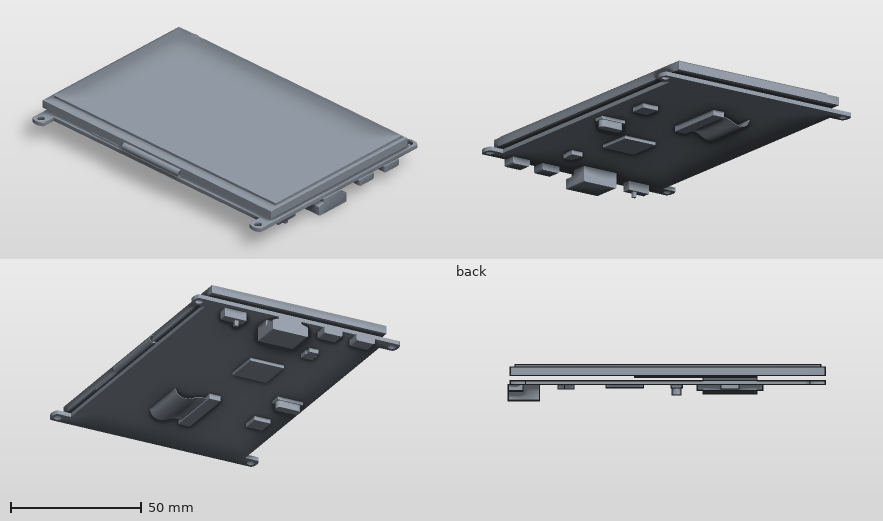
import cadquery as cq

OVERLAP = 0.1

board_bottom = 6.2
board_top = 7.8
panel_bottom = 9.7
panel_top = 13.0
glass_top = 14.0

overall_length = 121.8
panel_length = 121.0
panel_half_width = 38.0
board_half_width = panel_half_width

ear_width = 6.0
ear_tip = 44.7
ear_crown = 1.0
hole_offset_y = 42.0
hole_diameter = 3.0

glass_left, glass_right = 1.7, 119.2
glass_front, glass_back = -33.5, 36.6
screen_left, screen_right = 6.6, 114.8
screen_front, screen_back = -30.4, 35.0

flex_thickness = 0.18
sheet_thickness = 0.43
stiffener_inset = 0.1
flex_level = 9.0
flex_back = -17.9
ribbon_left, ribbon_right = 26.2, 47.0
wrap_left, wrap_right = 43.5, 73.2
wrap_radius = 1.6

socket_left, socket_right = 24.0, 49.2
socket_front, socket_back = -0.7, 4.1
socket_bottom = 4.0
ribbon_exit_level = 4.9
ribbon_low_level = 2.9

front_usb_y, back_usb_y = 14.5, 28.5


def block(x_range, y_range, z_range):
    """Box spanning the given (low, high) ranges."""
    (x0, x1), (y0, y1), (z0, z1) = x_range, y_range, z_range
    return cq.Workplane("XY").box(x1 - x0, y1 - y0, z1 - z0, centered=False).translate((x0, y0, z0))


def under_board(x_range, y_range, bottom):
    """Box hanging from the underside of the board down to the given level."""
    return block(x_range, y_range, (bottom, board_bottom + OVERLAP))


def ear(left, side):
    """Board ear with a crowned end and a screw hole; side is +1 (back) or -1 (front)."""
    middle = left + ear_width / 2
    right = left + ear_width
    shoulder = side * (ear_tip - ear_crown)
    root = side * (board_half_width - OVERLAP)
    outline = (
        cq.Workplane("XY", origin=(0, 0, board_bottom))
        .moveTo(left, root)
        .lineTo(left, shoulder)
        .threePointArc((middle, side * ear_tip), (right, shoulder))
        .lineTo(right, root)
        .close()
        .extrude(board_top - board_bottom)
    )
    hole = (
        cq.Workplane("XY", origin=(middle, side * hole_offset_y, board_bottom))
        .circle(hole_diameter / 2)
        .extrude(board_top - board_bottom)
    )
    return outline.cut(hole)


def make_board():
    """Circuit board with an ear at each corner."""
    board = block((0, panel_length), (-board_half_width, board_half_width), (board_bottom, board_top))
    for left in (0, panel_length - ear_width):
        for side in (-1, 1):
            board = board.union(ear(left, side))
    return board


def make_panel():
    """Display panel with the smaller cover glass on top."""
    panel = block((0, panel_length), (-panel_half_width, panel_half_width), (panel_bottom, panel_top))
    glass = block((glass_left, glass_right), (glass_front, glass_back), (panel_top - OVERLAP, glass_top))
    return panel.union(glass)


def make_ribbon():
    """Ribbon from the connector, sagging below the board, then up through it to the flex sheet."""
    middle_x = (ribbon_left + ribbon_right) / 2
    path = cq.Workplane("YZ", origin=(middle_x, 0, 0)).spline(
        [
            (socket_front + OVERLAP, ribbon_exit_level),
            (-3.9, ribbon_exit_level),
            (-8.8, ribbon_low_level),
            (-11.2, ribbon_low_level),
            (-12.9, 3.7),
            (-15.0, 7.4),
            (-16.1, flex_level),
            (flex_back - OVERLAP, flex_level),
        ],
        tangents=[(-1, 0), (-1, 0)],
    )
    section = cq.Workplane("XZ", origin=(0, socket_front + OVERLAP, 0)).center(
        middle_x, ribbon_exit_level
    )
    return section.rect(ribbon_right - ribbon_left, flex_thickness).sweep(path)


def make_flex():
    """Sheet below the panel, its stiffener, and the half loop that carries it round the front edge."""
    bottom = flex_level - flex_thickness / 2
    sheet = block(
        (ribbon_left, wrap_right),
        (-panel_half_width - OVERLAP, flex_back),
        (bottom, bottom + sheet_thickness),
    )
    stiffener = block(
        (ribbon_left + stiffener_inset, wrap_right - stiffener_inset),
        (-panel_half_width + stiffener_inset, flex_back - stiffener_inset),
        (bottom + OVERLAP, panel_bottom + OVERLAP),
    )
    loop_centre = bottom + wrap_radius
    loop = (
        cq.Workplane("YZ", origin=(wrap_left, -panel_half_width, loop_centre))
        .circle(wrap_radius)
        .circle(wrap_radius - flex_thickness)
        .extrude(wrap_right - wrap_left)
    )
    front_half = block(
        (wrap_left, wrap_right),
        (-panel_half_width - 2 * wrap_radius, -panel_half_width + OVERLAP),
        (0, glass_top),
    )
    return sheet.union(stiffener).union(loop.intersect(front_half))


def make_crystal():
    """Oscillator can: a round-ended body below a rectangular base."""
    middle_x, middle_y = 57.1, 29.1
    base_width, base_length, base_bottom = 4.4, 11.0, 5.0
    can_width, can_length, can_bottom = 3.5, 10.3, 2.2
    base = under_board(
        (middle_x - base_width / 2, middle_x + base_width / 2),
        (middle_y - base_length / 2, middle_y + base_length / 2),
        base_bottom,
    )
    can = (
        cq.Workplane("XY", origin=(middle_x, middle_y, can_bottom))
        .slot2D(can_length, can_width, 90)
        .extrude(base_bottom + OVERLAP - can_bottom)
    )
    return base.union(can)


def make_chips():
    """Plain chip packages: the main processor, one driver and two regulators side by side."""
    processor_bottom, small_chip_bottom = 5.0, 4.5
    regulator_joint = 100.1
    processor = under_board((69.8, 84.3), (-1.6, 12.9), processor_bottom)
    driver = under_board((33.1, 40.0), (23.9, 30.8), small_chip_bottom)
    long_regulator = under_board((96.4, regulator_joint), (13.9, 18.7), small_chip_bottom)
    short_regulator = under_board((regulator_joint - OVERLAP, 102.6), (14.4, 18.3), small_chip_bottom)
    return processor.union(driver).union(long_regulator).union(short_regulator)


def make_hdmi_socket():
    """Box-shaped rear and a mouth that narrows towards the board."""
    left, mouth_start = 109.7, 116.4
    middle_y = -4.3
    half_width, half_neck = 7.7, 4.9
    slope_bottom, slope_top = 4.0, 4.9
    corner_radius = 0.5
    shoulder_radius = 0.6
    mouth_length = overall_length - mouth_start
    rear = under_board((left, mouth_start), (middle_y - half_width, middle_y + half_width), 0)
    mouth = (
        cq.Workplane("YZ", origin=(mouth_start - OVERLAP, middle_y, 0))
        .polyline(
            [
                (-half_width, 0),
                (half_width, 0),
                (half_width, slope_bottom),
                (half_neck, slope_top),
                (half_neck, board_bottom + OVERLAP),
                (-half_neck, board_bottom + OVERLAP),
                (-half_neck, slope_top),
                (-half_width, slope_bottom),
            ]
        )
        .close()
        .extrude(mouth_length + OVERLAP)
    )
    for side in (-1, 1):
        shoulder = cq.selectors.NearestToPointSelector(
            (overall_length - mouth_length / 2, middle_y + side * half_width, slope_bottom)
        )
        mouth = mouth.edges(shoulder).fillet(shoulder_radius)
    return rear.union(mouth).edges("|X and <Z").fillet(corner_radius)


def make_usb_socket(middle_y):
    """Small socket flush with the right end, bevelled along its lower long edges."""
    left, half_width, bottom, chamfer = 116.1, 4.0, 3.5, 0.5
    socket = under_board((left, overall_length), (middle_y - half_width, middle_y + half_width), bottom)
    return socket.edges("|X and <Z").chamfer(chamfer)


def make_switch():
    """Slide switch: a block with its lever pointing down."""
    body_bottom, lever_bottom = 2.7, 0.5
    body = under_board((114.7, 118.2), (-30.9, -21.4), body_bottom)
    lever = block((115.5, 116.9), (-25.7, -24.2), (lever_bottom, body_bottom + OVERLAP))
    return body.union(lever)


ribbon_socket = under_board((socket_left, socket_right), (socket_front, socket_back), socket_bottom)

body = make_board()
for part in (
    ribbon_socket,
    make_ribbon(),
    make_flex(),
    make_panel(),
    make_crystal(),
    make_chips(),
    make_hdmi_socket(),
    make_usb_socket(front_usb_y),
    make_usb_socket(back_usb_y),
    make_switch(),
):
    body = body.union(part)

screen = block((screen_left, screen_right), (screen_front, screen_back), (panel_top, glass_top))
result = body.cut(screen).union(screen, clean=False)